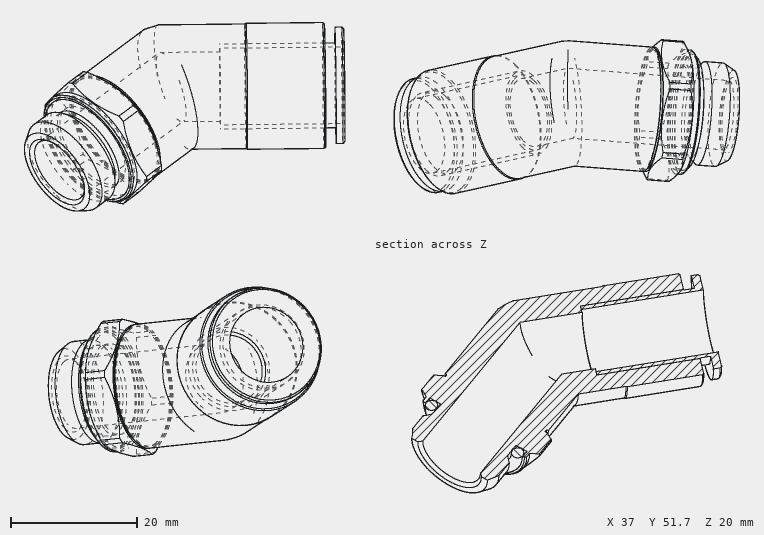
import cadquery as cq
import math

BEND_ANGLE = 45
BEND_Y = 25.95

STUD_END_DIAMETER = 14.5
THREAD_DIAMETER = 16.5
NECK_DIAMETER = 14.5
LEAD_CHAMFER_END = 1.75
THREAD_END = 4.7
NECK_START = 5.8

RING_OUTER_DIAMETER = 18.5
RING_SECTION_RADIUS = (RING_OUTER_DIAMETER - NECK_DIAMETER) / 4
RING_MEAN_RADIUS = (RING_OUTER_DIAMETER + NECK_DIAMETER) / 4
RING_CENTRE_Y = 7.1

FLANGE_START = 6.95
FLANGE_CHAMFER = 0.25
HEX_START = 8.0
HEX_END = 13.0
HEX_ACROSS_FLATS = 20.0
HEX_CORNER_DIAMETER = 22.5
HEX_CHAMFER_ANGLE = 30
HEX_SIDES = 6
HEX_TURN = 180 / HEX_SIDES
RELIEF_DIAMETER = 19.15
RELIEF_END = 13.35

ELBOW_DIAMETER = 19.8
CORNER_ROUND_ANGLE = 16
SLEEVE_DIAMETER = 20.0
SLEEVE_START = 11.8
SLEEVE_STEP_LENGTH = 0.2
SLEEVE_END = 24.4
SLEEVE_END_CHAMFER = 0.25

BORE_DIAMETER = 11.0
BORE_MOUTH_DIAMETER = 12.15
TUBE_DIAMETER = 12.15
TUBE_STOP = 7.75

COLLET_DIAMETER = 13.5
COLLET_RIM_DIAMETER = 18.5
COLLET_RIM_START = 26.05
COLLET_END = 27.45
COLLET_RIM_CHAMFER = 0.3


def turned(points):
    """Revolve a closed outline of (radius, Y) points about the Y axis."""
    return cq.Workplane("XY").polyline(points).close().revolve(360, (0, 0, 0), (0, 1, 0))


def rod(diameter, start, end):
    """Cylinder on the Y axis between two Y positions."""
    radius = diameter / 2
    return turned([(0, start), (radius, start), (radius, end), (0, end)])


def on_outlet(shape):
    """Move a shape from the Y axis to the outlet axis, its origin at the bend point."""
    return shape.rotate((0, 0, 0), (0, 0, 1), -BEND_ANGLE).translate((0, BEND_Y, 0))


def make_stud():
    """Threaded end, necked down to the ring seat, then the flange and the relief groove."""
    thread_radius = THREAD_DIAMETER / 2
    neck_radius = NECK_DIAMETER / 2
    flange_radius = ELBOW_DIAMETER / 2
    seat_radius = RING_OUTER_DIAMETER / 2
    seat_floor = RING_CENTRE_Y + RING_SECTION_RADIUS
    return turned([
        (0, 0),
        (STUD_END_DIAMETER / 2, 0),
        (thread_radius, LEAD_CHAMFER_END),
        (thread_radius, THREAD_END),
        (neck_radius, NECK_START),
        (neck_radius, seat_floor),
        (seat_radius, seat_floor),
        (seat_radius, FLANGE_START),
        (flange_radius - FLANGE_CHAMFER, FLANGE_START),
        (flange_radius, FLANGE_START + FLANGE_CHAMFER),
        (flange_radius, HEX_END),
        (RELIEF_DIAMETER / 2, HEX_END),
        (RELIEF_DIAMETER / 2, RELIEF_END),
        (0, RELIEF_END),
    ])


def make_hexagon():
    """Hexagonal collar with flats on +Z and -Z and coned corners, open around the ring seat."""
    face_radius = ELBOW_DIAMETER / 2
    corner_radius = HEX_CORNER_DIAMETER / 2
    cone_height = (corner_radius - face_radius) * math.tan(math.radians(HEX_CHAMFER_ANGLE))
    seat_floor = RING_CENTRE_Y + RING_SECTION_RADIUS
    prism = (
        cq.Workplane("XZ", origin=(0, HEX_START, 0))
        .polygon(HEX_SIDES, HEX_ACROSS_FLATS, circumscribed=True)
        .extrude(-(HEX_END - HEX_START))
        .rotate((0, 0, 0), (0, 1, 0), HEX_TURN)
    )
    coned_blank = turned([
        (0, HEX_START),
        (face_radius, HEX_START),
        (corner_radius, HEX_START + cone_height),
        (corner_radius, HEX_END - cone_height),
        (face_radius, HEX_END),
        (0, HEX_END),
    ])
    ring_seat = rod(RING_OUTER_DIAMETER, HEX_START, seat_floor)
    return prism.intersect(coned_blank).cut(ring_seat)


def corner_sector(profile):
    """Revolve a (radius, Z) profile about the bend point, centred on the outside of the mitre."""
    start_turn = 180 - (BEND_ANGLE + CORNER_ROUND_ANGLE) / 2
    return (
        profile.revolve(CORNER_ROUND_ANGLE, (0, 0, 0), (0, 1, 0))
        .rotate((0, 0, 0), (0, 0, 1), start_turn)
        .translate((0, BEND_Y, 0))
    )


def mitred_pair(diameter, start, end):
    """Stud-axis cylinder from Y = start joined at a mitre to an outlet cylinder of length end."""
    overrun = 2 * diameter
    block_size = 4 * SLEEVE_END
    beyond_mitre = (
        cq.Workplane("XY")
        .box(block_size, block_size, block_size, centered=(True, False, True))
        .rotate((0, 0, 0), (0, 0, 1), -BEND_ANGLE / 2)
        .translate((0, BEND_Y, 0))
    )
    inlet = rod(diameter, start, BEND_Y + overrun).cut(beyond_mitre)
    outlet = on_outlet(rod(diameter, -overrun, end)).intersect(beyond_mitre)
    return inlet.union(outlet)


def make_elbow():
    """Two mitred cylinders, with the outer half of the mitre edge rounded off."""
    radius = ELBOW_DIAMETER / 2
    end_plane_tilt = math.radians((BEND_ANGLE - CORNER_ROUND_ANGLE) / 2)
    ellipse_radius = radius / math.cos(end_plane_tilt)
    sharp_corner = corner_sector(
        cq.Workplane("XZ").rect(ELBOW_DIAMETER, ELBOW_DIAMETER, centered=(False, True))
    )
    round_corner = corner_sector(
        cq.Workplane("XZ")
        .moveTo(0, -radius)
        .ellipseArc(ellipse_radius, radius, -90, 90, startAtCurrent=True)
        .close()
    )
    elbow = mitred_pair(ELBOW_DIAMETER, RELIEF_END, SLEEVE_START)
    return elbow.cut(sharp_corner).union(round_corner)


def make_sleeve():
    """Wider outlet end with a coned step at its root and a chamfered rim."""
    elbow_radius = ELBOW_DIAMETER / 2
    radius = SLEEVE_DIAMETER / 2
    return on_outlet(turned([
        (0, SLEEVE_START),
        (elbow_radius, SLEEVE_START),
        (radius, SLEEVE_START + SLEEVE_STEP_LENGTH),
        (radius, SLEEVE_END - SLEEVE_END_CHAMFER),
        (radius - SLEEVE_END_CHAMFER, SLEEVE_END),
        (0, SLEEVE_END),
    ]))


def make_passage():
    """Stud bore and outlet bore meeting at a mitre, with the collet's seat beyond the tube stop."""
    bore_radius = BORE_DIAMETER / 2
    mouth_radius = BORE_MOUTH_DIAMETER / 2
    mouth_chamfer = mouth_radius - bore_radius
    bores = mitred_pair(BORE_DIAMETER, 0, TUBE_STOP)
    mouth = turned([
        (0, 0),
        (mouth_radius, 0),
        (bore_radius, mouth_chamfer),
        (0, mouth_chamfer),
    ])
    collet_seat = on_outlet(rod(COLLET_DIAMETER, TUBE_STOP, SLEEVE_END))
    return bores.union(mouth).union(collet_seat)


def make_housing():
    """Stud, hexagon, elbow and sleeve in one piece, bored through."""
    outside = make_stud().union(make_hexagon()).union(make_elbow()).union(make_sleeve())
    return outside.cut(make_passage()).solids()


def make_sealing_ring():
    """Round-section ring lying between the neck and the rim of its seat."""
    return (
        cq.Workplane("XY")
        .center(RING_MEAN_RADIUS, RING_CENTRE_Y)
        .circle(RING_SECTION_RADIUS)
        .revolve(360, (-RING_MEAN_RADIUS, 0, 0), (-RING_MEAN_RADIUS, 1, 0))
    )


def make_collet():
    """Tube-gripping bush that fills its seat and ends in a flanged rim outside the sleeve."""
    inner_radius = TUBE_DIAMETER / 2
    outer_radius = COLLET_DIAMETER / 2
    rim_radius = COLLET_RIM_DIAMETER / 2
    return on_outlet(turned([
        (inner_radius, TUBE_STOP),
        (outer_radius, TUBE_STOP),
        (outer_radius, COLLET_RIM_START),
        (rim_radius, COLLET_RIM_START),
        (rim_radius, COLLET_END - COLLET_RIM_CHAMFER),
        (rim_radius - COLLET_RIM_CHAMFER, COLLET_END),
        (inner_radius, COLLET_END),
    ]))


housing = make_housing()
sealing_ring = make_sealing_ring()
collet = make_collet()

result = cq.Compound.makeCompound([housing.val(), sealing_ring.val(), collet.val()])